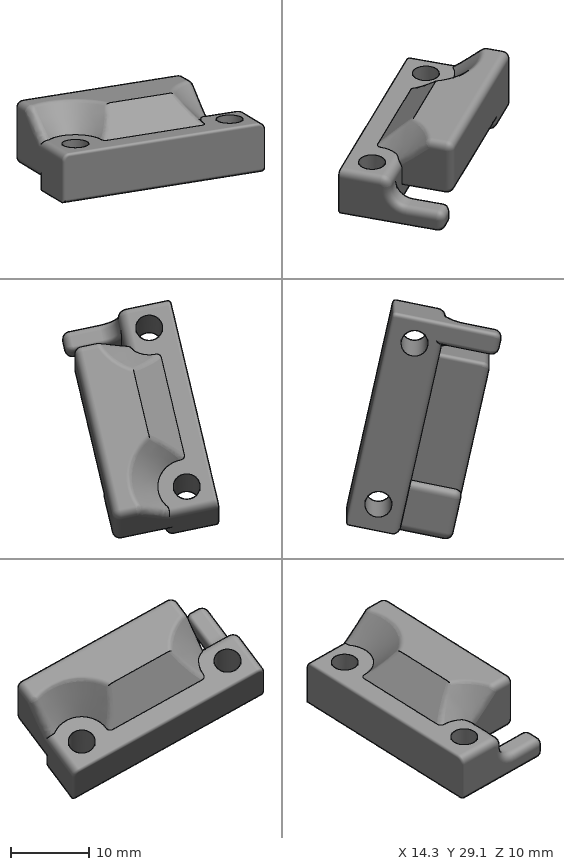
import cadquery as cq
import math

LENGTH = 29.1
RIGHT_X = 14.25
TOP_Z = 10.0

RAIL_LEFT_X = 7.28
RAIL_TOP_Z = 6.52
RAIL_SIDE_ROUND = 1.25
RIGHT_FACE_ROUND = 0.38

BLOCK_LEFT_X = 0.47
BLOCK_END_Y = 24.07
BLOCK_BOTTOM_Z = 2.62
SLOPE_TOP_X = 7.28
SLOPE_BOTTOM_X = 11.4
BURIED_Z = 4.36

PAD_END_Y = 6.75
PAD_BOTTOM_Z = 1.55

TAB_START_Y = 26.15
TAB_TOP_Z = 2.62
TAB_BLEND = 2.25

HOLE_X = 10.77
HOLE_YS = (3.52, 25.7)
HOLE_DIAMETER = 3.43
CONE_BOTTOM_RADIUS = 3.7
CONE_TOP_RADIUS = 7.28

SHELF_LEFT_X = 6.7
SHELF_END_Y = 6.7

ROUND = 1.0
SMALL_ROUND = 0.52
NEAR = 0.015


def box(x0, x1, y0, y1, z0, z1):
    """Box between opposite corner coordinates."""
    return cq.Workplane("XY").box(x1 - x0, y1 - y0, z1 - z0, centered=False).translate((x0, y0, z0))


def edge_at(x=None, y=None, z=None):
    """Selector for edges whose centre lies at the given coordinates."""
    far = 2 * LENGTH
    spans = [(-far, far) if value is None else (value - NEAR, value + NEAR) for value in (x, y, z)]
    low, high = zip(*spans)
    return cq.selectors.BoxSelector(low, high)


def make_rail():
    rail = box(RAIL_LEFT_X, RIGHT_X, 0, LENGTH, 0, RAIL_TOP_Z)
    rail = rail.edges(edge_at(x=RAIL_LEFT_X, z=RAIL_TOP_Z)).fillet(RAIL_SIDE_ROUND)
    back_round = rail.edges(edge_at(y=LENGTH) - edge_at(x=RIGHT_X) - edge_at(z=0))
    front_and_left = rail.edges(
        edge_at(x=RAIL_LEFT_X, y=0) + edge_at(x=RAIL_LEFT_X, z=0) + edge_at(y=0, z=RAIL_TOP_Z)
    )
    rail = back_round.add(front_and_left).fillet(ROUND)
    rail = rail.edges(edge_at(y=LENGTH, z=0)).fillet(SMALL_ROUND)
    return rail.faces(">X").edges().fillet(RIGHT_FACE_ROUND)


def make_front_shelf():
    """Square-sided widening of the rail's top at the foot of the front cone."""
    shelf = box(SHELF_LEFT_X, HOLE_X, 0, SHELF_END_Y, BURIED_Z, RAIL_TOP_Z)
    return shelf.edges(edge_at(y=0, z=RAIL_TOP_Z)).fillet(ROUND)


def make_tab():
    """Tab whose hollow blend runs up the rail's left wall; its root is inside the rail."""
    blend_start_x = RAIL_LEFT_X - TAB_BLEND
    blend_end_z = TAB_TOP_Z + TAB_BLEND
    root_x = RAIL_LEFT_X + ROUND
    blend_middle = (
        blend_start_x + TAB_BLEND * math.sin(math.pi / 4),
        blend_end_z - TAB_BLEND * math.cos(math.pi / 4),
    )
    tab = (
        cq.Workplane("XZ", origin=(0, LENGTH, 0))
        .lineTo(0, TAB_TOP_Z)
        .lineTo(blend_start_x, TAB_TOP_Z)
        .threePointArc(blend_middle, (RAIL_LEFT_X, blend_end_z))
        .lineTo(root_x, blend_end_z)
        .lineTo(root_x, 0)
        .close()
        .extrude(LENGTH - TAB_START_Y)
    )
    blend = cq.selectors.TypeSelector("CIRCLE")
    back = edge_at(y=LENGTH)
    front = edge_at(y=TAB_START_Y)
    top = edge_at(z=TAB_TOP_Z) + blend
    tab = tab.edges(edge_at(x=0) + (top & back)).fillet(ROUND)
    return tab.edges((top & front) + (edge_at(z=0) & (front + back))).fillet(SMALL_ROUND)


def clearance_cone(y):
    """Cone around a screw hole, carried a little above the top face."""
    spread = (CONE_TOP_RADIUS - CONE_BOTTOM_RADIUS) / (TOP_Z - RAIL_TOP_Z)
    above = 0.3
    low_radius = CONE_BOTTOM_RADIUS - spread * (RAIL_TOP_Z - BURIED_Z)
    high_radius = CONE_TOP_RADIUS + spread * above
    cone = cq.Solid.makeCone(low_radius, high_radius, TOP_Z + above - BURIED_Z)
    return cq.Workplane(cone.translate(cq.Vector(HOLE_X, y, BURIED_Z)))


def make_block():
    run = (SLOPE_BOTTOM_X - SLOPE_TOP_X) / (TOP_Z - RAIL_TOP_Z)
    buried_x = SLOPE_TOP_X + run * (TOP_Z - BURIED_Z)
    profile = [
        (BLOCK_LEFT_X, BLOCK_BOTTOM_Z),
        (buried_x, BLOCK_BOTTOM_Z),
        (buried_x, BURIED_Z),
        (SLOPE_TOP_X, TOP_Z),
        (BLOCK_LEFT_X, TOP_Z),
    ]
    block = cq.Workplane("XZ").polyline(profile).close().extrude(-BLOCK_END_Y)
    for y in HOLE_YS:
        block = block.cut(clearance_cone(y))

    crest = edge_at(x=SLOPE_TOP_X, z=TOP_Z).filter(block.edges().vals())
    lower_left = edge_at(x=BLOCK_LEFT_X, z=BLOCK_BOTTOM_Z).filter(block.edges().vals())
    upper = [edge for edge in block.edges().vals() if edge.BoundingBox().zmax > RAIL_TOP_Z]
    rounded = [edge for edge in upper if edge not in crest] + lower_left
    block = block.newObject(rounded).fillet(ROUND)
    block = block.edges(edge_at(y=BLOCK_END_Y, z=BLOCK_BOTTOM_Z)).fillet(SMALL_ROUND)

    toe_x = RIGHT_X - ROUND
    return block.intersect(box(0, toe_x, 0, LENGTH, 0, TOP_Z))


def make_pad():
    """Pad reaching up into the block and right into the rail."""
    pad = box(BLOCK_LEFT_X, SLOPE_BOTTOM_X, 0, PAD_END_Y, PAD_BOTTOM_Z, BURIED_Z)
    return pad.edges(
        edge_at(x=BLOCK_LEFT_X, y=0) + edge_at(x=BLOCK_LEFT_X, y=PAD_END_Y)
        + edge_at(x=BLOCK_LEFT_X, z=PAD_BOTTOM_Z) + edge_at(y=0, z=PAD_BOTTOM_Z)
        + edge_at(y=PAD_END_Y, z=PAD_BOTTOM_Z)
    ).fillet(ROUND)


def drill(y):
    """Cutter for a through hole."""
    return cq.Workplane("XY").center(HOLE_X, y).circle(HOLE_DIAMETER / 2).extrude(TOP_Z)


result = make_rail().union(make_tab()).union(make_front_shelf()).union(make_block()).union(make_pad())
for hole_y in HOLE_YS:
    result = result.cut(drill(hole_y))